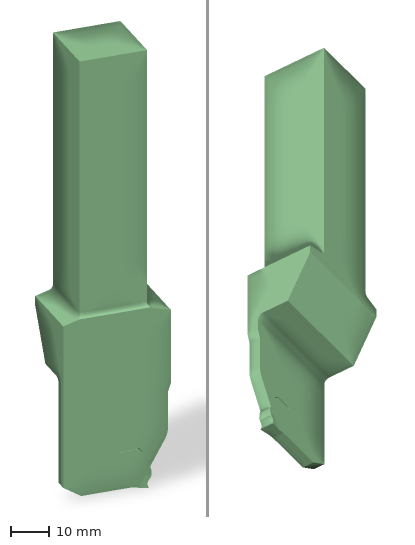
import cadquery as cq
import math

overall_length = 127.0
shank_size = 19.05
shank_offset_y = 5.0
shank_back_y = shank_offset_y + shank_size
head_width = 20.0
head_depth = 30.35

shoulder_slope = math.tan(math.radians(15))
front_shoulder_z = 51.2
back_shoulder_z = 50.75
shoulder_radius = 1.6
side_shoulder_z = 52.3

blade_bottom_z = 0.95
blade_thickness = 3.36
blade_side_x = head_width - blade_thickness
blade_root_z = 34.65
blade_root_radius = 1.6
blade_back_y = 29.6
blade_step_top_z = 29.2
blade_step_bottom_z = 27.0
blade_corner_y = 5.05
blade_corner_z = 4.2
nose_angle = math.radians(30)
nose_start_z = 14.9
nose_radius = 7.0

slant_top_z = 48.3
slant_bottom_x = 7.2

insert_lean = math.tan(math.radians(20))
insert_tip_y = 24.2
insert_heel_y = 18.8
insert_heel_z = blade_bottom_z
insert_front_y = 16.1
insert_top_z = 11.75
pocket_top_clearance = 0.3
insert_top_corner_radius = 0.8
insert_top_back_y = 21.3
insert_back_top_z = 10.3
insert_back_y = 24.9
insert_back_z = 5.0
insert_lip_z = 3.8
chip_groove_top = (24.6, 2.9)
chip_groove_middle = (23.75, 1.5)

insert_overhang = 0.34
flare_line_angle = math.radians(56)
flare_start_y = 23.2
flare_length = 2.9

outside_margin = 1.0


def edge_along_x(y, z):
    """Selector for the edge that runs across the head at the given Y and Z."""
    return cq.selectors.NearestToPointSelector((head_width / 2, y, z))


def holder_side_profile():
    """Shank, shoulders, blade and nose as one YZ outline across the full head width."""
    front_shoulder_root_z = front_shoulder_z + shank_offset_y * shoulder_slope
    back_shoulder_root_z = back_shoulder_z + (head_depth - shank_back_y) * shoulder_slope
    nose_end_y = blade_back_y - (nose_start_z - blade_bottom_z) * math.tan(nose_angle)
    profile = (
        cq.Workplane("YZ")
        .moveTo(blade_corner_y, blade_bottom_z)
        .lineTo(0, blade_corner_z)
        .lineTo(0, front_shoulder_z)
        .lineTo(shank_offset_y, front_shoulder_root_z)
        .lineTo(shank_offset_y, overall_length)
        .lineTo(shank_back_y, overall_length)
        .lineTo(shank_back_y, back_shoulder_root_z)
        .lineTo(head_depth, back_shoulder_z)
        .lineTo(head_depth, blade_step_top_z)
        .lineTo(blade_back_y, blade_step_bottom_z)
        .lineTo(blade_back_y, nose_start_z)
        .lineTo(nose_end_y, blade_bottom_z)
        .close()
        .extrude(head_width)
    )

    front_root = edge_along_x(shank_offset_y, front_shoulder_root_z)
    back_root = edge_along_x(shank_back_y, back_shoulder_root_z)
    nose_start = edge_along_x(blade_back_y, nose_start_z)
    profile = profile.edges(front_root).fillet(shoulder_radius)
    profile = profile.edges(back_root).fillet(shoulder_radius)
    return profile.edges(nose_start).fillet(nose_radius)


def shank_side_relief():
    """Material beside the shank on +X, ending below in a partial fillet."""
    centre_x = shank_size + shoulder_radius
    centre_z = side_shoulder_z + shoulder_radius
    return (
        cq.Workplane("XZ")
        .moveTo(shank_size, overall_length + outside_margin)
        .lineTo(shank_size, centre_z)
        .radiusArc((centre_x, side_shoulder_z), -shoulder_radius)
        .lineTo(centre_x, overall_length + outside_margin)
        .close()
        .extrude(-head_depth)
    )


def blade_side_relief():
    """Material below the slanted head block, leaving the thin blade on +X."""
    return (
        cq.Workplane("XZ")
        .moveTo(0, slant_top_z)
        .lineTo(slant_bottom_x, blade_root_z)
        .lineTo(blade_side_x - blade_root_radius, blade_root_z)
        .radiusArc((blade_side_x, blade_root_z - blade_root_radius), blade_root_radius)
        .lineTo(blade_side_x, 0)
        .lineTo(-outside_margin, 0)
        .lineTo(-outside_margin, slant_top_z)
        .close()
        .extrude(-head_depth)
    )


def insert_prism(top_z):
    """Insert outline in the YZ plane, from the tip around to the chip groove, as a full-width prism."""
    flank_top_z = insert_heel_z + (insert_heel_y - insert_front_y) / insert_lean
    return (
        cq.Workplane("YZ")
        .workplane(offset=blade_side_x - outside_margin)
        .moveTo(insert_tip_y, 0)
        .lineTo(insert_heel_y, insert_heel_z)
        .lineTo(insert_front_y, flank_top_z)
        .lineTo(insert_front_y, top_z - insert_top_corner_radius)
        .radiusArc((insert_front_y + insert_top_corner_radius, top_z), insert_top_corner_radius)
        .lineTo(insert_top_back_y, top_z)
        .lineTo(insert_back_y - (insert_back_top_z - insert_back_z) * insert_lean, insert_back_top_z)
        .lineTo(insert_back_y, insert_back_z)
        .lineTo(insert_back_y, insert_lip_z)
        .lineTo(*chip_groove_top)
        .threePointArc(chip_groove_middle, (insert_tip_y, 0))
        .close()
        .extrude(blade_thickness + 2 * outside_margin)
    )


def blade_slab():
    """Layer between the two faces of the blade."""
    slab = cq.Workplane("XY").box(blade_thickness, head_depth, overall_length, centered=False)
    return slab.translate((blade_side_x, 0, 0))


def flared_layer():
    """Layer below the lip that widens in X away from the flare line."""
    flare_line = (0, math.cos(flare_line_angle), math.sin(flare_line_angle))
    flare_origin = (0, flare_start_y, insert_lip_z)
    flare_plane = cq.Plane(origin=flare_origin, xDir=(1, 0, 0), normal=flare_line)
    wedge = (
        cq.Workplane(flare_plane)
        .moveTo(blade_side_x, 0)
        .lineTo(head_width, 0)
        .lineTo(head_width + insert_overhang, flare_length)
        .lineTo(blade_side_x - insert_overhang, flare_length)
        .close()
        .extrude(head_depth, both=True)
    )
    layer_width = head_width + outside_margin
    below_lip = cq.Workplane("XY").box(layer_width, head_depth, insert_lip_z, centered=False)
    return wedge.intersect(below_lip)


def build_holder():
    """Holder with an insert pocket that is open on both faces and clears the insert's top."""
    pocket = insert_prism(insert_top_z + pocket_top_clearance)
    holder = holder_side_profile().cut(shank_side_relief()).cut(blade_side_relief())
    return holder.cut(pocket)


def build_insert():
    """Insert flush with the blade faces, except for its flared head."""
    blank = insert_prism(insert_top_z)
    body = blank.intersect(blade_slab())
    head = blank.intersect(flared_layer())
    return body.union(head)


holder = build_holder()
insert = build_insert()
result = cq.Compound.makeCompound([holder.solids().val(), insert.solids().val()])